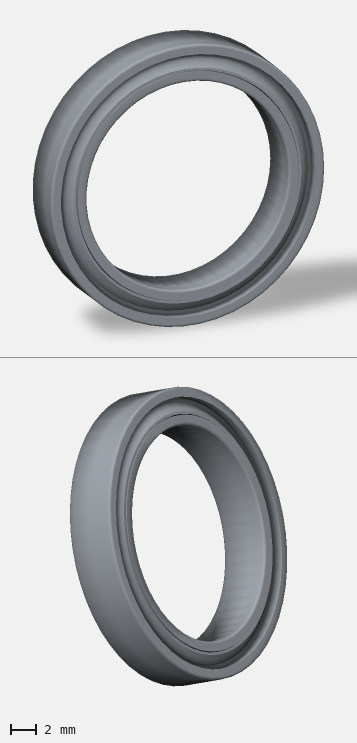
import cadquery as cq

outer_radius = 11.5
bore_radius = 8.5
width = 3.98
half_width = width / 2
edge_round = 0.2

gap_inner_radius = 9.3
running_gap = 0.07
gap_outer_radius = gap_inner_radius + running_gap

recess_radius = 10.7
cone_base_radius = 10.33
cone_top_radius = 9.57
recess_depth = 0.71
shield_setback = 0.07

radius_tolerance = 0.002


def revolve_about_axis(profile):
    """Spin a closed X-Y profile, Y being the radius, about the X axis."""
    return profile.revolve(360, (0, 0, 0), (1, 0, 0))


def make_ring_blank(inner_radius, ring_radius):
    """Plain square-edged ring of the full bearing width."""
    profile = (
        cq.Workplane("XY")
        .moveTo(-half_width, inner_radius)
        .lineTo(half_width, inner_radius)
        .lineTo(half_width, ring_radius)
        .lineTo(-half_width, ring_radius)
        .close()
    )
    return revolve_about_axis(profile)


def round_rims(ring, rim_radius):
    """Round the two circular edges of the given radius, one on each face."""
    circles = ring.edges("%CIRCLE").vals()
    rims = [edge for edge in circles if abs(edge.radius() - rim_radius) < radius_tolerance]
    return ring.newObject(rims).fillet(edge_round)


def make_shield_recess(side):
    """Space in front of the shield on one face; side is -1 or 1."""
    face_x = side * half_width
    recess_x = side * (half_width - recess_depth)
    shield_x = side * (half_width - shield_setback)
    profile = (
        cq.Workplane("XY")
        .moveTo(face_x, recess_radius)
        .lineTo(recess_x, recess_radius)
        .lineTo(recess_x, cone_base_radius)
        .lineTo(shield_x, cone_top_radius)
        .lineTo(shield_x, gap_outer_radius)
        .lineTo(face_x, gap_outer_radius)
        .close()
    )
    return revolve_about_axis(profile)


def make_outer_ring():
    """Outer ring with rounded outer rims and a conical shield on each face."""
    ring = round_rims(make_ring_blank(gap_outer_radius, outer_radius), outer_radius)
    for side in (-1, 1):
        ring = ring.cut(make_shield_recess(side))
    return ring


def make_inner_ring():
    """Plain inner ring with rounded bore rims."""
    return round_rims(make_ring_blank(bore_radius, gap_inner_radius), bore_radius)


outer_ring = make_outer_ring()
inner_ring = make_inner_ring()

result = cq.Compound.makeCompound([outer_ring.val(), inner_ring.val()])